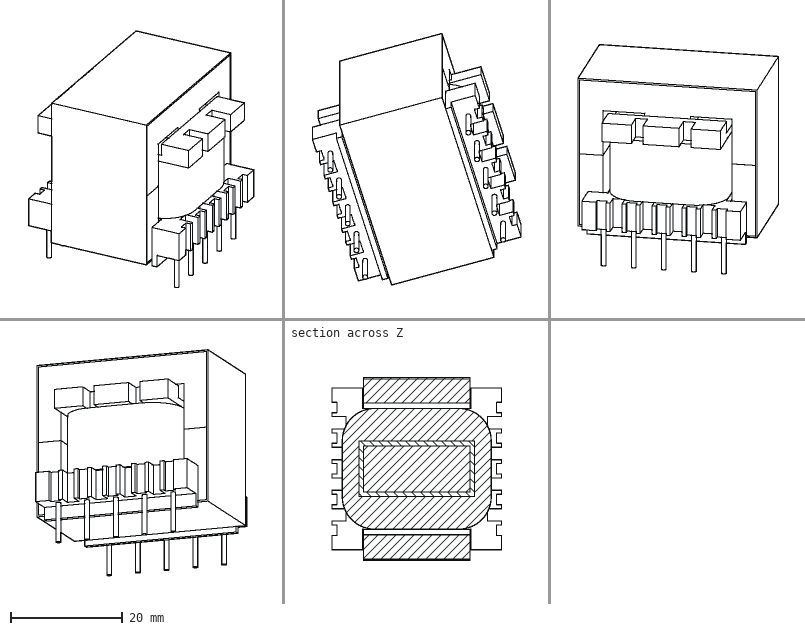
import cadquery as cq


core_width = 19.15
tape_length = 32.82
tape_top = 33.98
tape_bottom = 5.95
tape_thickness = 0.3
core_length = tape_length - 2 * tape_thickness
core_top = tape_top - tape_thickness
core_bottom = tape_bottom + tape_thickness
core_split = 19.67
window_length = 23.58
window_top = 28.15
window_depth = window_top - core_split
window_bottom = core_split - window_depth
leg_length = 8.35

bobbin_width = 30.48
tube_wall = 0.85
tube_width = core_width + 2 * tube_wall
tube_length = leg_length + 2 * tube_wall
block_inner_x = 9.72
block_width = bobbin_width / 2 - block_inner_x
plate_width = 2 * block_inner_x
plate_thickness = 1.3
top_block_length = 21.7
top_block_bottom = 24.23
top_block_top = 27.73
top_slot_depth = 3.8
top_slot_length = 2.17
top_slot_y = 4.4
base_length = 29.05
base_bottom = 7.27
base_top = 12.67
foot_width = 1.02
foot_bottom = 4.95

pin_count = 5
pin_pitch = 5.5
pin_diameter = 0.9
pin_x = 12.9
groove_depth = 0.92
groove_length = 1.85
slot_depth = 2.5
slot_length = 2.17

winding_width = 26.78
winding_length = top_block_length
winding_corner_radius = 5.85


def centred_box(width, length, bottom, top, x=0.0, y=0.0):
    """Box centred on (x, y) that spans the heights bottom to top."""
    return cq.Workplane("XY", origin=(x, y, bottom)).box(
        width, length, top - bottom, centered=(True, True, False)
    )


def evenly_spaced(count, pitch):
    """Positions of `count` items at `pitch`, centred on zero."""
    return [(i - (count - 1) / 2) * pitch for i in range(count)]


def edge_cut(side, depth, length, y, bottom, top):
    """Cutter that enters the outer X face of the bobbin on one side."""
    return centred_box(depth, length, bottom, top, side * (bobbin_width - depth) / 2, y)


def make_tape():
    """Rectangular band wrapped around the outside of both cores."""
    outer = centred_box(core_width, tape_length, tape_bottom, tape_top)
    return outer.cut(centred_box(core_width, core_length, core_bottom, core_top))


def make_core(bottom, top, window_from, window_to):
    """E-core half: a block less its window, with the centre leg left standing."""
    block = centred_box(core_width, core_length, bottom, top)
    window = centred_box(core_width, window_length, window_from, window_to)
    leg = centred_box(core_width, leg_length, window_from, window_to)
    return block.cut(window.cut(leg))


def make_top_block(side):
    """Upper flange block with its two wire slots."""
    x = side * (block_inner_x + block_width / 2)
    block = centred_box(block_width, top_block_length, top_block_bottom, top_block_top, x)
    for y in (-top_slot_y, top_slot_y):
        block = block.cut(
            edge_cut(side, top_slot_depth, top_slot_length, y, top_block_bottom, top_block_top)
        )
    return block


def make_base_block(side):
    """Base block with its grooves, slots, foot and pins."""
    x = side * (block_inner_x + block_width / 2)
    block = centred_box(block_width, base_length, base_bottom, base_top, x)
    for y in evenly_spaced(pin_count, pin_pitch):
        block = block.cut(edge_cut(side, groove_depth, groove_length, y, base_bottom, base_top))
    for y in evenly_spaced(pin_count - 1, pin_pitch):
        block = block.cut(edge_cut(side, slot_depth, slot_length, y, base_bottom, base_top))
    foot_x = side * (block_inner_x + foot_width / 2)
    block = block.union(centred_box(foot_width, base_length, foot_bottom, base_bottom, foot_x))
    pins = (
        cq.Workplane("XY")
        .pushPoints([(side * pin_x, y) for y in evenly_spaced(pin_count, pin_pitch)])
        .circle(pin_diameter / 2)
        .extrude(base_bottom)
    )
    return block.union(pins)


def make_bobbin():
    """Tube around the centre leg, two flange plates, and the blocks on each side."""
    top_plate_top = top_block_bottom + plate_thickness
    base_plate_bottom = base_top - plate_thickness
    bobbin = centred_box(tube_width, tube_length, base_plate_bottom, top_plate_top)
    bobbin = bobbin.union(centred_box(plate_width, top_block_length, top_block_bottom, top_plate_top))
    bobbin = bobbin.union(centred_box(plate_width, top_block_length, base_plate_bottom, base_top))
    for side in (-1, 1):
        bobbin = bobbin.union(make_top_block(side)).union(make_base_block(side))
    return bobbin.cut(centred_box(core_width, leg_length, base_plate_bottom, top_plate_top))


def make_winding():
    """Coil that fills the space around the tube between the two flanges."""
    coil = centred_box(winding_width, winding_length, base_top, top_block_bottom)
    coil = coil.edges("|Z").fillet(winding_corner_radius)
    return coil.cut(centred_box(tube_width, tube_length, base_top, top_block_bottom))


tape = make_tape()
upper_core = make_core(core_split, core_top, core_split, window_top)
lower_core = make_core(core_bottom, core_split, window_bottom, core_split)
bobbin = make_bobbin()
winding = make_winding()

result = cq.Compound.makeCompound(
    [tape.val(), upper_core.val(), lower_core.val(), bobbin.val(), winding.val()]
)